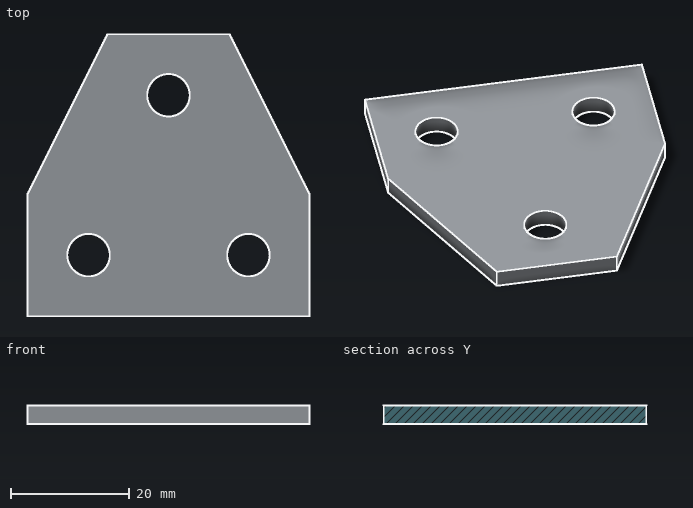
import cadquery as cq

hole_pitch = 27.0
edge_margin = 10.325
hole_diameter = 7.14
thickness = 3.17

plate_size = hole_pitch + 2 * edge_margin
half_size = plate_size / 2
half_pitch = hole_pitch / 2
half_top_width = edge_margin
shoulder_y = -half_size + 2 * edge_margin


def make_plate():
    """Flat plate with straight lower sides that taper to a narrower top edge."""
    outline = [
        (-half_size, -half_size),
        (half_size, -half_size),
        (half_size, shoulder_y),
        (half_top_width, half_size),
        (-half_top_width, half_size),
        (-half_size, shoulder_y),
    ]
    return cq.Workplane("XY").polyline(outline).close().extrude(thickness)


def drill_holes(plate):
    """Three through holes: two near the bottom edge and one near the top."""
    hole_centres = [
        (-half_pitch, -half_pitch),
        (half_pitch, -half_pitch),
        (0, half_pitch),
    ]
    drills = (
        cq.Workplane("XY")
        .pushPoints(hole_centres)
        .circle(hole_diameter / 2)
        .extrude(thickness)
    )
    return plate.cut(drills)


result = drill_holes(make_plate())